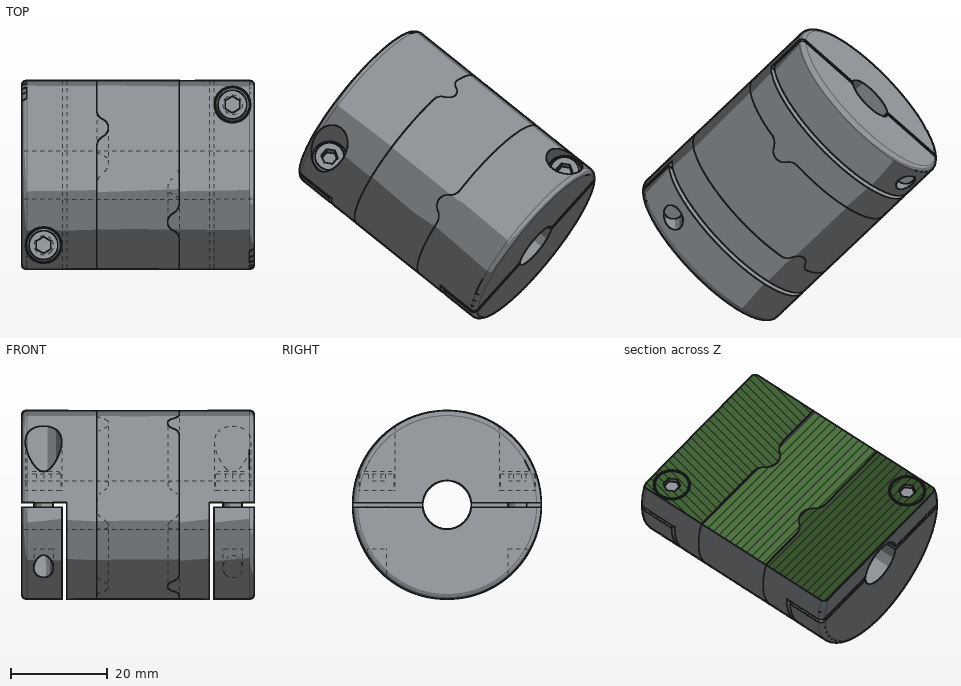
import cadquery as cq
import math


length = 48.0
outer_diameter = 39.0
bore_diameter = 10.0
end_fillet = 1.0

element_length = 17.0
tooth_radius = 2.4
tooth_root_radius = 2.5
tooth_angle = 30.0

slit_width = 0.9
cap_length = 8.35

screw_inset = 4.5
screw_offset = 14.5
shank_diameter = 4.0
shank_length = 12.0
head_diameter = 7.0
head_height = 4.0
head_chamfer = 0.55
head_top = 6.95
counterbore_diameter = 7.5
socket_flats = 3.0
socket_depth = 2.0
socket_turn = 30.0

outer_radius = outer_diameter / 2
end_x = -length / 2
joint_x = -element_length / 2
hub_length = joint_x - end_x
screw_x = end_x + screw_inset
seat_z = head_top - head_height


def x_cylinder(diameter, start_x, cylinder_length):
    """Solid cylinder on the X axis."""
    return cq.Workplane("YZ", origin=(start_x, 0, 0)).circle(diameter / 2).extrude(cylinder_length)


def z_cylinder(diameter, start_z, height):
    """Solid cylinder on the screw axis of the -X hub."""
    return cq.Workplane("XY", origin=(screw_x, -screw_offset, start_z)).circle(diameter / 2).extrude(height)


def half_turn(body):
    """The same body turned to the opposite end of the coupling."""
    return body.rotate((0, 0, 0), (0, 0, 1), 180)


def tooth(angle):
    """Rounded tooth on the inner face of the -X hub, running radially from the axis.

    The crown arc is centred on the joint plane; each flank is a root arc
    tangent to both the crown and the joint plane.
    """
    half_width = math.sqrt((tooth_radius + tooth_root_radius) ** 2 - tooth_root_radius**2)
    flank_angle = math.atan2(half_width, tooth_root_radius)
    blend_x = joint_x + tooth_radius * math.cos(flank_angle)
    blend_y = tooth_radius * math.sin(flank_angle)
    root_mid_x = joint_x + tooth_root_radius * (1 - math.cos(flank_angle / 2))
    root_mid_y = half_width - tooth_root_radius * math.sin(flank_angle / 2)
    return (
        cq.Workplane("XY")
        .moveTo(joint_x, -half_width)
        .threePointArc((root_mid_x, -root_mid_y), (blend_x, -blend_y))
        .threePointArc((joint_x + tooth_radius, 0), (blend_x, blend_y))
        .threePointArc((root_mid_x, root_mid_y), (joint_x, half_width))
        .close()
        .extrude(outer_radius + tooth_radius)
        .rotate((0, 0, 0), (1, 0, 0), angle)
        .intersect(x_cylinder(outer_diameter, end_x, length))
    )


def hub_teeth():
    """Pair of teeth above and below the XY plane on the +Y side of the -X hub."""
    return tooth(-tooth_angle).union(tooth(tooth_angle - 180))


def clamp_slits():
    """Slit on the axis plane and slit across the lower half, both full width."""
    slit_length = cap_length + slit_width
    axis_slit = cq.Workplane("XY").box(slit_length, outer_diameter, slit_width, centered=(False, True, True))
    cross_slit = cq.Workplane("XY").box(slit_width, outer_diameter, outer_radius, centered=(False, True, False))
    return axis_slit.translate((end_x, 0, 0)).union(
        cross_slit.translate((end_x + cap_length, 0, -outer_radius))
    )


def clamp_screw():
    """Socket head screw, its head seated in the counterbore."""
    head = z_cylinder(head_diameter, seat_z, head_height).faces(">Z").chamfer(head_chamfer)
    shank = z_cylinder(shank_diameter, seat_z - shank_length, shank_length)
    socket = (
        cq.Workplane("XY", origin=(screw_x, -screw_offset, head_top - socket_depth))
        .polygon(6, socket_flats / math.cos(math.pi / 6))
        .extrude(socket_depth)
        .rotate((screw_x, -screw_offset, 0), (screw_x, -screw_offset, 1), socket_turn)
    )
    return head.union(shank).cut(socket)


def clamp_hub():
    """Hub at the -X end with its clamp cap and screw."""
    blank = x_cylinder(outer_diameter, end_x, hub_length).faces("<X").edges().fillet(end_fillet)
    return (
        blank.union(hub_teeth())
        .cut(x_cylinder(bore_diameter, end_x, length))
        .cut(clamp_slits())
        .cut(z_cylinder(counterbore_diameter, seat_z, outer_radius))
        .cut(z_cylinder(shank_diameter, -outer_radius, outer_radius))
        .union(clamp_screw())
    )


def rubber_element():
    """Middle ring, notched to fit the teeth of both hubs."""
    teeth = hub_teeth()
    return (
        x_cylinder(outer_diameter, joint_x, element_length)
        .cut(teeth)
        .cut(half_turn(teeth))
        .cut(x_cylinder(bore_diameter, joint_x, element_length))
    )


hub = clamp_hub()
hubs = [hub, half_turn(hub)]
element = rubber_element()

bodies = [element, *hubs]
result = cq.Compound.makeCompound([solid for body in bodies for solid in body.solids().vals()])